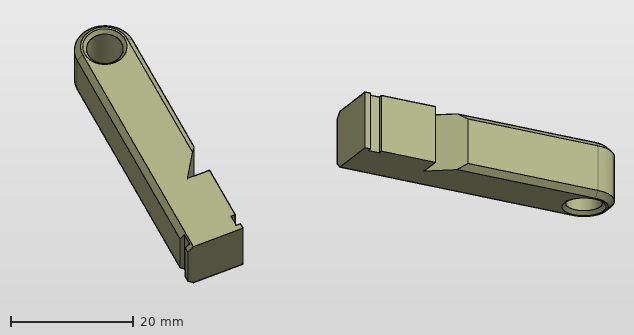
import cadquery as cq

length = 48.0
width = 10.0
height = 10.0
end_radius = width / 2
edge_chamfer = 1.0

hole_diameter = 6.0
hole_chamfer = 0.6

notch_start = 29.0
notch_end = 35.0
notch_depth = 4.05

groove_width = 2.0
groove_depth = 0.75
end_lip = 1.0
groove_center = length - end_lip - groove_width / 2


def bar():
    """Bar along X with a rounded end at X = 0 and a square far end."""
    return (
        cq.Workplane("XY")
        .moveTo(end_radius, -width / 2)
        .lineTo(length, -width / 2)
        .lineTo(length, width / 2)
        .lineTo(end_radius, width / 2)
        .threePointArc((0, 0), (end_radius, -width / 2))
        .close()
        .extrude(height)
    )


def side_chamfered_bar():
    """Bar chamfered along both sides and around the rounded end, top and bottom."""
    rim_edges = bar().faces("|Z").edges("|X or %CIRCLE")
    return rim_edges.chamfer(edge_chamfer)


def square_head_corner():
    """Block that keeps the +Y edges sharp beyond the notch."""
    return cq.Workplane("XY").box(
        length - notch_end, width / 2, height, centered=False
    ).translate((notch_end, 0, 0))


def notch():
    return (
        cq.Workplane("XY")
        .moveTo(notch_start, width / 2)
        .lineTo(notch_end, width / 2)
        .lineTo(notch_end, width / 2 - notch_depth)
        .close()
        .extrude(height)
    )


def hole():
    """Hole centered on the rounded end."""
    return (
        cq.Workplane("XY")
        .center(end_radius, 0)
        .circle(hole_diameter / 2)
        .extrude(height)
    )


def groove(side):
    """Groove through the full height; side is +1 or -1 along Y."""
    return cq.Workplane("XY").box(
        groove_width, 2 * groove_depth, height, centered=(True, True, False)
    ).translate((groove_center, side * width / 2, 0))


result = side_chamfered_bar().union(square_head_corner()).cut(notch())
result = result.cut(hole())
hole_rims = result.faces("|Z").edges(cq.selectors.RadiusNthSelector(0))
result = hole_rims.chamfer(hole_chamfer)
for side in (-1, 1):
    result = result.cut(groove(side))